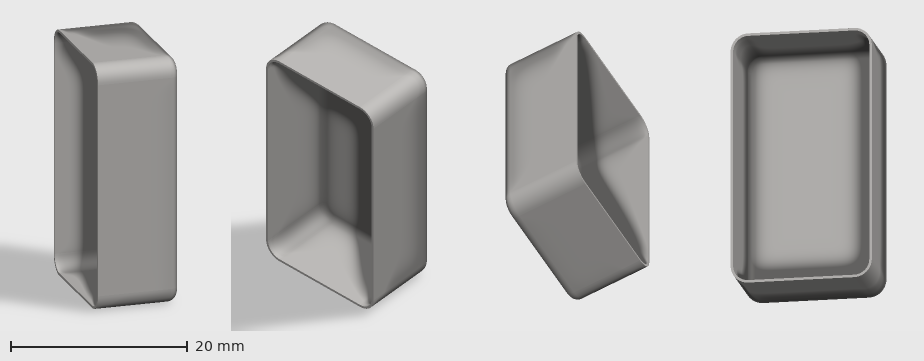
import cadquery as cq

width = 16.3
depth = 9.7
height = 29.3

wall = 0.3
corner_radius = 2.05
floor_edge_radius = 1.0
inner_floor_edge_radius = floor_edge_radius - wall


def rounded_block(size_x, size_y, size_z, upright_radius, back_radius):
    """Block from Y = 0 to size_y, with its Y edges and its +Y rim rounded."""
    block = cq.Workplane("XY").box(size_x, size_y, size_z, centered=(True, False, True))
    return block.edges("|Y").fillet(upright_radius).faces(">Y").edges().fillet(back_radius)


shell = rounded_block(width, depth, height, corner_radius, floor_edge_radius)
cavity = rounded_block(
    width - 2 * wall,
    depth - wall,
    height - 2 * wall,
    corner_radius - wall,
    inner_floor_edge_radius,
)

result = shell.cut(cavity)